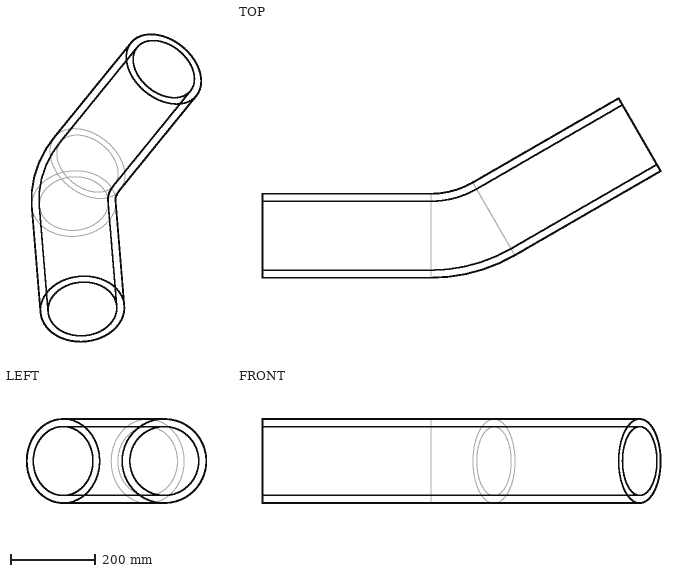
import cadquery as cq
import math

outer_diameter = 200.0
bore_diameter = 163.6
bend_angle = 30.0
straight_length = 400.0
tangent_length = 80.0

bend_radius = tangent_length / math.tan(math.radians(bend_angle / 2))


def point_on_bend(angle):
    """Centreline point after the bend has turned through angle (degrees)."""
    turn = math.radians(angle)
    return (
        straight_length + bend_radius * math.sin(turn),
        bend_radius * (1 - math.cos(turn)),
    )


def make_centreline():
    """Straight leg along +X, bend arc, then the angled straight leg."""
    bend_end = point_on_bend(bend_angle)
    direction = math.radians(bend_angle)
    pipe_end = (
        bend_end[0] + straight_length * math.cos(direction),
        bend_end[1] + straight_length * math.sin(direction),
    )
    return (
        cq.Workplane("XY")
        .lineTo(straight_length, 0)
        .threePointArc(point_on_bend(bend_angle / 2), bend_end)
        .lineTo(*pipe_end)
    )


def make_pipe():
    """Sweep the ring-shaped wall section along the centreline."""
    wall_section = (
        cq.Workplane("YZ")
        .circle(outer_diameter / 2)
        .circle(bore_diameter / 2)
    )
    return wall_section.sweep(make_centreline())


result = make_pipe()